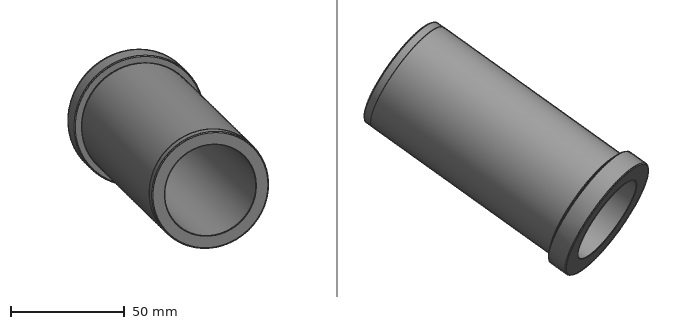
import cadquery as cq

total_length = 115.0
flange_diameter = 60.0
flange_length = 10.0
body_diameter = 54.0
bore_diameter = 42.0
edge_chamfer = 0.5
bore_chamfer = 0.2

undercut_depth = 0.3
undercut_flat = 0.6
undercut_runout = 0.6

lead_length = 4.0
lead_diameter = 53.9

flange_radius = flange_diameter / 2
body_radius = body_diameter / 2
bore_radius = bore_diameter / 2
lead_radius = lead_diameter / 2
undercut_radius = body_radius - undercut_depth
undercut_flat_end = flange_length + undercut_flat
undercut_end = undercut_flat_end + undercut_runout
lead_start = total_length - lead_length

wall_profile = [
    (0, bore_radius + bore_chamfer),
    (0, flange_radius - edge_chamfer),
    (edge_chamfer, flange_radius),
    (flange_length - edge_chamfer, flange_radius),
    (flange_length, flange_radius - edge_chamfer),
    (flange_length, undercut_radius),
    (undercut_flat_end, undercut_radius),
    (undercut_end, body_radius),
    (lead_start, body_radius),
    (lead_start, lead_radius),
    (total_length - edge_chamfer, lead_radius),
    (total_length, lead_radius - edge_chamfer),
    (total_length, bore_radius + bore_chamfer),
    (total_length - bore_chamfer, bore_radius),
    (bore_chamfer, bore_radius),
]

result = cq.Workplane("XY").polyline(wall_profile).close().revolve(360, (0, 0, 0), (1, 0, 0))